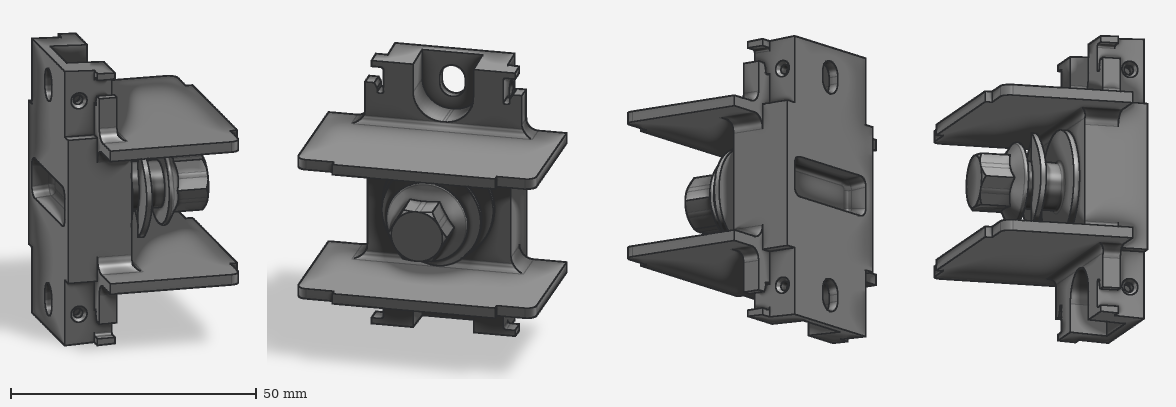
import cadquery as cq
import math


height = 58.2
half_height = height / 2
wide_half = 15.1
narrow_half = 12.6
front_depth = 6.2
end_depth = 9.95
core_depth = 13.45
end_draft_drop = 0.4

plate_width = 50.0
plate_half_width = plate_width / 2
plate_top = 15.2
plate_thickness = 2.2
plate_bottom = plate_top - plate_thickness
plate_rear = 35.2
plate_shoulder = 33.75
plate_step_half = 17.1
plate_corner_radius = 2.0

outer_fillet = 2.5
inner_fillet = 2.9
rear_fillet = 1.5

arm_half = 16.45
arm_top = 23.9
notch_x = 13.9
notch_arc_z = 22.0
notch_sag = 0.3
arm_bevel_width = 0.6
arm_bevel_height = 1.1
tab_half = wide_half
tab_bottom = 27.4
tab_fillet = 0.6

slot_z = 22.75
slot_width = 5.3
slot_length = 6.8
pocket_floor_y = 2.15
pocket_half = 6.35
pocket_radius = 6.05
pocket_bottom = slot_z - pocket_radius

side_hole_y = 3.0
side_hole_z = 22.65
side_hole_diameter = 1.9
side_hole_depth = 2.9
sink_diameter = 3.4
sink_depth = 0.8

recess_width = 2 * narrow_half
recess_height = 8.4
recess_corner = 2.0
recess_depth = 4.4
recess_wall_inset = 0.45
recess_floor_fillet = 1.15

collar_radius = 11.65
collar_top = 14.65
shaft_radius = 4.9
shaft_fillet = 0.6
flange_bottom = 23.3
flange_rim_top = 24.2
flange_radius = 8.25
flange_bulge = 0.3
cone_slope = 1.5
hex_across_flats = 10.7
hex_barrel_diameter = 10.75
hex_barrel_radius = hex_barrel_diameter / 2
head_top = 32.4
head_chamfer_angle = 40.0

washer_radius = 10.65
washer_hole_radius = 5.25
washer_thickness = 1.15
washer_mid_y = 19.05
wave_crest_x = 7.55
wave_rise = 1.4


def fillet_mid(center_a, center_b, radius, toward_a, toward_b):
    """Middle point of a quarter arc, on the side of its centre given by two signs."""
    reach = radius / math.sqrt(2)
    return (center_a + toward_a * reach, center_b + toward_b * reach)


def cylinder_y(radius, start, end):
    """Cylinder on the Y axis between two depths."""
    return cq.Workplane("XZ", origin=(0, start, 0)).circle(radius).extrude(start - end)


def rear_quarter():
    """Arms, tabs and core behind the front block, for x > 0 and z > 0."""
    inner_x = wide_half + inner_fillet
    inner_z = plate_bottom - inner_fillet
    outer_x = arm_half + outer_fillet
    outer_z = plate_top + outer_fillet
    tab_x = narrow_half + tab_fillet
    tab_z = tab_bottom - tab_fillet
    notch_mid_x = (notch_x + narrow_half) / 2
    return (
        cq.Workplane("XZ", origin=(0, front_depth, 0))
        .lineTo(wide_half, 0)
        .lineTo(wide_half, inner_z)
        .threePointArc(fillet_mid(inner_x, inner_z, inner_fillet, -1, 1), (inner_x, plate_bottom))
        .lineTo(outer_x, plate_bottom)
        .lineTo(outer_x, plate_top)
        .threePointArc(fillet_mid(outer_x, outer_z, outer_fillet, -1, -1), (arm_half, outer_z))
        .lineTo(arm_half, arm_top)
        .lineTo(notch_x + arm_bevel_width, arm_top)
        .lineTo(notch_x, arm_top - arm_bevel_height)
        .lineTo(notch_x, notch_arc_z)
        .threePointArc((notch_mid_x, notch_arc_z - notch_sag), (narrow_half, notch_arc_z))
        .lineTo(narrow_half, tab_z)
        .threePointArc(fillet_mid(tab_x, tab_z, tab_fillet, -1, 1), (tab_x, tab_bottom))
        .lineTo(tab_half, tab_bottom)
        .lineTo(tab_half, half_height)
        .lineTo(0, half_height)
        .close()
        .extrude(front_depth - plate_rear)
    )


def front_quarter():
    """Stepped block behind the mounting face, for x > 0 and z > 0."""
    wide = cq.Workplane("XY").box(wide_half, front_depth, plate_top, centered=False)
    narrow = cq.Workplane("XY").box(narrow_half, front_depth, half_height, centered=False)
    return wide.union(narrow)


def depth_envelope():
    """Side outline of the block with drafted end and rear fillets, for z > 0."""
    core_y = core_depth + rear_fillet
    core_z = plate_bottom - rear_fillet
    end_y = end_depth + rear_fillet
    end_z = plate_top + rear_fillet
    return (
        cq.Workplane("YZ")
        .lineTo(core_depth, 0)
        .lineTo(core_depth, core_z)
        .threePointArc(fillet_mid(core_y, core_z, rear_fillet, -1, 1), (core_y, plate_bottom))
        .lineTo(core_y, plate_top)
        .lineTo(end_y, plate_top)
        .threePointArc(fillet_mid(end_y, end_z, rear_fillet, -1, -1), (end_depth, end_z))
        .lineTo(end_depth, half_height - end_draft_drop)
        .lineTo(0, half_height)
        .close()
        .extrude(plate_half_width)
    )


def plate_quarter():
    """Half of the upper barrier plate, for x > 0."""
    corner_x = plate_half_width - plate_corner_radius
    corner_y = plate_shoulder - plate_corner_radius
    return (
        cq.Workplane("XY", origin=(0, 0, plate_bottom))
        .moveTo(0, front_depth)
        .lineTo(plate_half_width, front_depth)
        .lineTo(plate_half_width, corner_y)
        .threePointArc(
            fillet_mid(corner_x, corner_y, plate_corner_radius, 1, 1), (corner_x, plate_shoulder)
        )
        .lineTo(plate_step_half, plate_shoulder)
        .lineTo(plate_step_half, plate_rear)
        .lineTo(0, plate_rear)
        .close()
        .extrude(plate_thickness)
    )


def mounting_slot_and_pocket():
    """Upper mounting slot with the round-bottomed pocket open to the top and rear."""
    slot = (
        cq.Workplane("XZ", origin=(0, 0, slot_z))
        .slot2D(slot_length, slot_width, 90)
        .extrude(-end_depth)
    )
    pocket = (
        cq.Workplane("XY", origin=(-pocket_half, pocket_floor_y, pocket_bottom))
        .box(2 * pocket_half, end_depth, half_height, centered=False)
        .edges("|Y and <Z")
        .fillet(pocket_radius)
    )
    return slot.union(pocket)


def side_hole():
    """Countersunk blind hole entering the upper end from +X."""
    half_profile = [
        (narrow_half, 0),
        (narrow_half, sink_diameter / 2),
        (narrow_half - sink_depth, side_hole_diameter / 2),
        (narrow_half - side_hole_depth, side_hole_diameter / 2),
        (narrow_half - side_hole_depth, 0),
    ]
    return (
        cq.Workplane("XY")
        .polyline(half_profile)
        .close()
        .revolve(360, (0, 0, 0), (1, 0, 0))
        .translate((0, side_hole_y, side_hole_z))
    )


def face_recess():
    """Rounded rectangular recess with leaning walls and a filleted floor."""
    lean = math.degrees(math.atan(recess_wall_inset / recess_depth))
    return (
        cq.Workplane("XZ")
        .rect(recess_width, recess_height)
        .extrude(-recess_depth, taper=lean)
        .edges("not (<Y or >Y)")
        .fillet(recess_corner)
        .faces(">Y")
        .edges()
        .fillet(recess_floor_fillet)
    )


def mirrored(shape, plane):
    """The shape joined to its mirror image."""
    return shape.union(shape.mirror(plane))


def stud():
    """Collar, shaft, conical flange and hexagon head, turned about the Y axis."""
    cone_end_y = flange_rim_top + flange_radius / cone_slope
    shaft_end = collar_top + shaft_fillet
    fillet_x = shaft_radius + shaft_fillet
    rim_mid = (flange_radius + flange_bulge, (flange_bottom + flange_rim_top) / 2)
    turned = (
        cq.Workplane("XY")
        .moveTo(0, core_depth)
        .lineTo(collar_radius, core_depth)
        .lineTo(collar_radius, collar_top)
        .lineTo(fillet_x, collar_top)
        .threePointArc(fillet_mid(fillet_x, shaft_end, shaft_fillet, -1, -1), (shaft_radius, shaft_end))
        .lineTo(shaft_radius, flange_bottom)
        .lineTo(flange_radius, flange_bottom)
        .threePointArc(rim_mid, (flange_radius, flange_rim_top))
        .lineTo(0, cone_end_y)
        .close()
        .revolve(360, (0, 0, 0), (0, 1, 0))
    )
    return turned.union(hex_head())


def hex_head():
    """Hexagon with corners on the X axis, chamfered end and a round barrel inside."""
    corner_radius = hex_across_flats / math.sqrt(3)
    chamfer_drop = (corner_radius - hex_barrel_radius) * math.tan(math.radians(head_chamfer_angle))
    hexagon = (
        cq.Workplane("XZ", origin=(0, flange_rim_top, 0))
        .polygon(6, 2 * corner_radius)
        .extrude(flange_rim_top - head_top)
    )
    chamfer_body = (
        cq.Workplane("XY")
        .moveTo(0, flange_rim_top)
        .lineTo(corner_radius, flange_rim_top)
        .lineTo(corner_radius, head_top - chamfer_drop)
        .lineTo(hex_barrel_radius, head_top)
        .lineTo(0, head_top)
        .close()
        .revolve(360, (0, 0, 0), (0, 1, 0))
    )
    barrel = cylinder_y(hex_barrel_radius, flange_rim_top, head_top)
    return hexagon.intersect(chamfer_body).union(barrel)


def terminal_housing():
    """Housing with its barrier plates and the stud that stands on it."""
    block = front_quarter().union(rear_quarter()).intersect(depth_envelope())
    half = block.union(plate_quarter()).cut(side_hole())
    upper = mirrored(half, "YZ").cut(mounting_slot_and_pocket())
    return mirrored(upper, "XY").cut(face_recess()).union(stud())


def wave_washer():
    """Round washer bent to an S along X, with a crest at -X and a trough at +X."""
    wave_radius = (wave_crest_x**2 + wave_rise**2) / (2 * wave_rise)
    past_crest = washer_radius - wave_crest_x
    edge_rise = wave_rise - wave_radius + math.sqrt(wave_radius**2 - past_crest**2)
    top_y = washer_mid_y + washer_thickness
    strip = (
        cq.Workplane("XY", origin=(0, 0, -washer_radius))
        .moveTo(-washer_radius, washer_mid_y + edge_rise)
        .threePointArc((-wave_crest_x, washer_mid_y + wave_rise), (0, washer_mid_y))
        .threePointArc((wave_crest_x, washer_mid_y - wave_rise), (washer_radius, washer_mid_y - edge_rise))
        .lineTo(washer_radius, top_y - edge_rise)
        .threePointArc((wave_crest_x, top_y - wave_rise), (0, top_y))
        .threePointArc((-wave_crest_x, top_y + wave_rise), (-washer_radius, top_y + edge_rise))
        .close()
        .extrude(2 * washer_radius)
    )
    ring = cylinder_y(washer_radius, core_depth, head_top).cut(
        cylinder_y(washer_hole_radius, core_depth, head_top)
    )
    return strip.intersect(ring)


housing = terminal_housing()
washer = wave_washer()

result = cq.Compound.makeCompound([housing.solids().val(), washer.solids().val()])